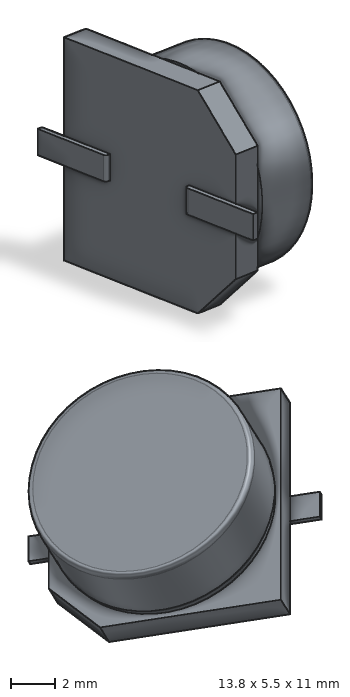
import cadquery as cq
import math

total_height = 5.5
lead_span = 13.8

lead_length = 4.37
lead_width = 1.3
lead_thickness = 0.29
lead_tip_radius = 0.18

base_side = 11.0
base_thickness = 1.41
base_chamfer = 2.43

can_diameter = 10.7
can_edge_radius = 0.26
groove_radius = 0.25
groove_depth = 0.21
groove_offset = 0.21

base_top = lead_thickness + base_thickness
can_radius = can_diameter / 2
can_height = total_height - base_top
neck_radius = can_radius - groove_depth
groove_center_radius = neck_radius + groove_radius
foot_radius = groove_center_radius - math.sqrt(groove_radius**2 - groove_offset**2)
groove_half_width = math.sqrt(groove_radius**2 - (groove_radius - groove_depth) ** 2)


def make_base():
    """Square plate with the two +X corners cut off."""
    plate = cq.Workplane("XY").box(base_side, base_thickness, base_side)
    plate = plate.edges("|Y and >X").chamfer(base_chamfer)
    return plate.translate((0, lead_thickness + base_thickness / 2, 0))


def make_can():
    """Round can with a rounded closed end and a crimped groove next to the base."""
    profile = (
        cq.Workplane("XY", origin=(0, base_top, 0))
        .lineTo(foot_radius, 0)
        .radiusArc((neck_radius, groove_offset), groove_radius)
        .radiusArc((can_radius, groove_offset + groove_half_width), groove_radius)
        .lineTo(can_radius, can_height)
        .lineTo(0, can_height)
        .close()
    )
    can = profile.revolve(360, (0, 0), (0, 1))
    return can.faces(">Y").edges().fillet(can_edge_radius)


def make_lead(side):
    """Flat lead under the base; side is -1 for the -X lead and 1 for the +X lead."""
    lead = cq.Workplane("XY").box(lead_length, lead_thickness, lead_width)
    inner_face = "<X" if side > 0 else ">X"
    lead = lead.faces(inner_face).edges("<Y").fillet(lead_tip_radius)
    return lead.translate((side * (lead_span - lead_length) / 2, lead_thickness / 2, 0))


base = make_base()
can = make_can()
leads = [make_lead(side) for side in (-1, 1)]

result = cq.Compound.makeCompound([base.val(), can.val(), *[lead.val() for lead in leads]])